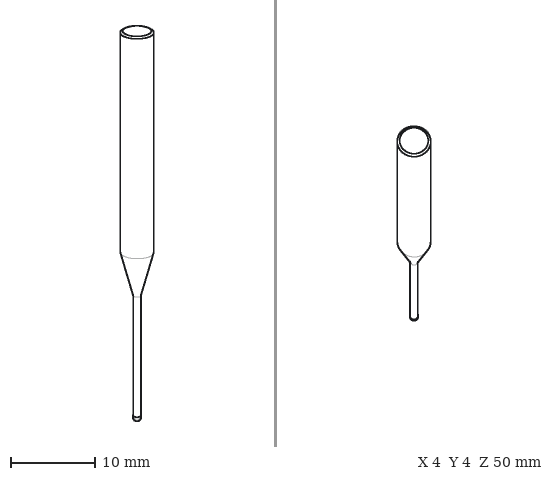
import cadquery as cq

total_length = 50.0
shank_diameter = 4.0
shank_start = 21.65
end_chamfer_width = 0.3
end_chamfer_height = 0.2
neck_diameter = 0.95
neck_end = 16.1
head_diameter = 1.0
head_length = 0.7

shank_radius = shank_diameter / 2
neck_radius = neck_diameter / 2
head_radius = head_diameter / 2


def make_head():
    """Cutting head: a short cylinder ending in a hemisphere with its tip at the origin."""
    return (
        cq.Workplane("XZ")
        .lineTo(0, head_length)
        .lineTo(head_radius, head_length)
        .lineTo(head_radius, head_radius)
        .radiusArc((0, 0), head_radius)
        .close()
        .revolve(360, (0, 0), (0, 1))
    )


def make_shank():
    """Slender neck, taper and chamfered shank, standing on the cutting head."""
    return (
        cq.Workplane("XZ")
        .moveTo(0, head_length)
        .lineTo(neck_radius, head_length)
        .lineTo(neck_radius, neck_end)
        .lineTo(shank_radius, shank_start)
        .lineTo(shank_radius, total_length - end_chamfer_height)
        .lineTo(shank_radius - end_chamfer_width, total_length)
        .lineTo(0, total_length)
        .close()
        .revolve(360, (0, 0), (0, 1))
    )


head = make_head()
shank = make_shank()

result = cq.Compound.makeCompound([head.val(), shank.val()])